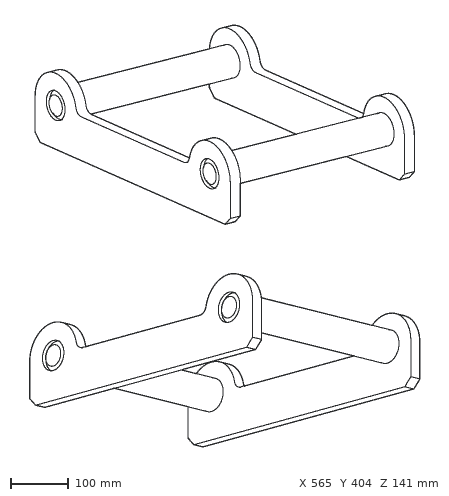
import cadquery as cq
import math

length = 565.0
width = 404.0
plate_height = 141.0
plate_thickness = 22.0

ear_radius = 60.0
saddle_fillet = 16.0
corner_chamfer = 15.0

bar_diameter = 60.0
journal_diameter = 54.0
journal_chamfer = 8.0

ear_x = length / 2 - ear_radius
ear_z = plate_height - ear_radius
bar_length = width - 2 * plate_thickness


def saddle_profile():
    """Points where the fillets between the ears and the straight saddle begin, bend and end."""
    centre_offset = math.sqrt((ear_radius + saddle_fillet) ** 2 - saddle_fillet ** 2)
    fillet_x = ear_x - centre_offset
    fillet_z = ear_z + saddle_fillet
    share = ear_radius / (ear_radius + saddle_fillet)
    on_ear = (ear_x - share * centre_offset, ear_z + share * saddle_fillet)
    bend = saddle_fillet * math.sqrt(0.5)
    middle = (fillet_x + bend, fillet_z - bend)
    on_saddle = (fillet_x, ear_z)
    return on_ear, middle, on_saddle


def mirrored(point):
    return (-point[0], point[1])


def make_plate(front_y):
    """Side plate with two round ears, occupying one plate thickness behind front_y."""
    on_ear, middle, on_saddle = saddle_profile()
    ear_top = (ear_x, plate_height)
    half = length / 2
    plate = (
        cq.Workplane("XZ", origin=(0, front_y, 0))
        .moveTo(corner_chamfer - half, 0)
        .lineTo(half - corner_chamfer, 0)
        .lineTo(half, corner_chamfer)
        .lineTo(half, ear_z)
        .threePointArc(ear_top, on_ear)
        .threePointArc(middle, on_saddle)
        .lineTo(*mirrored(on_saddle))
        .threePointArc(mirrored(middle), mirrored(on_ear))
        .threePointArc(mirrored(ear_top), (-half, ear_z))
        .lineTo(-half, corner_chamfer)
        .close()
        .extrude(-plate_thickness)
    )
    bores = (
        cq.Workplane("XZ", origin=(0, front_y, 0))
        .pushPoints([(-ear_x, ear_z), (ear_x, ear_z)])
        .circle(journal_diameter / 2)
        .extrude(-plate_thickness)
    )
    return plate.cut(bores)


def make_bar(x):
    """Round bar shouldered between the plates, with chamfered journals flush with their outer faces."""
    journals = (
        cq.Workplane("XZ", origin=(x, -width / 2, ear_z))
        .circle(journal_diameter / 2)
        .extrude(-width)
        .faces("<Y or >Y")
        .chamfer(journal_chamfer)
    )
    body = (
        cq.Workplane("XZ", origin=(x, -bar_length / 2, ear_z))
        .circle(bar_diameter / 2)
        .extrude(-bar_length)
    )
    return body.union(journals)


plates = [make_plate(front_y) for front_y in (-width / 2, width / 2 - plate_thickness)]
bars = [make_bar(x) for x in (-ear_x, ear_x)]

result = cq.Compound.makeCompound([body.val() for body in plates + bars])